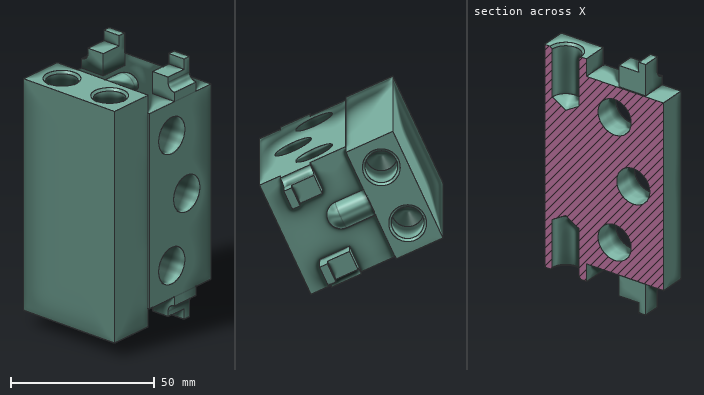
import cadquery as cq
import math

total_height = 100.0

body_width = 43.0
body_depth = 33.0
body_height = 75.0

block_width = 42.0
block_depth = 18.0
block_height = 89.0

cross_hole_diameter = 14.0
outer_hole_offset_z = 25.0
outer_hole_from_back = 21.0
middle_hole_from_back = 13.0

port_diameter = 11.4
port_mouth_diameter = 13.2
port_offset_x = 11.0
port_depth = 20.0
port_tip_angle = 118.0
port_tip_height = port_diameter / 2 / math.tan(math.radians(port_tip_angle / 2))

pin_radius = 5.0
pin_straight_length = body_depth / 2 - pin_radius

lug_inner_x = 11.4
lug_fillet_radius = 3.0
lug_outer_x = body_width / 2 - lug_fillet_radius
lug_foot_height = 3.5
lug_step_drop = 4.0
lug_from_back = 8.0
lug_depth = 11.5
hook_depth = 3.0

back_y = block_depth + body_depth
body_top_z = body_height / 2
lug_top_z = total_height / 2


def make_box(x_range, y_range, z_range):
    """Box spanning the given (low, high) pairs."""
    sizes = [high - low for low, high in (x_range, y_range, z_range)]
    corner = (x_range[0], y_range[0], z_range[0])
    return cq.Workplane("XY").box(*sizes, centered=False).translate(corner)


def make_body():
    """Rear body with three cross holes."""
    body = make_box(
        (-body_width / 2, body_width / 2),
        (block_depth, back_y),
        (-body_top_z, body_top_z),
    )
    outer_y = back_y - outer_hole_from_back
    middle_y = back_y - middle_hole_from_back
    centres = [
        (outer_y, outer_hole_offset_z),
        (middle_y, 0),
        (outer_y, -outer_hole_offset_z),
    ]
    holes = (
        cq.Workplane("YZ")
        .pushPoints(centres)
        .circle(cross_hole_diameter / 2)
        .extrude(body_width / 2, both=True)
    )
    return body.cut(holes)


def make_port():
    """Cutter for one port: chamfered mouth, straight bore and conical tip, opening at Z = 0."""
    mouth_radius = port_mouth_diameter / 2
    bore_radius = port_diameter / 2
    chamfer = mouth_radius - bore_radius
    return (
        cq.Workplane("XZ")
        .moveTo(0, 0)
        .lineTo(mouth_radius, 0)
        .lineTo(bore_radius, -chamfer)
        .lineTo(bore_radius, -port_depth)
        .lineTo(0, -port_depth - port_tip_height)
        .close()
        .revolve(360, (0, 0, 0), (0, 1, 0))
    )


def make_block():
    """Front block with two blind ports in each end face."""
    block = make_box(
        (-block_width / 2, block_width / 2),
        (0, block_depth),
        (-block_height / 2, block_height / 2),
    )
    for x in (-port_offset_x, port_offset_x):
        upper_port = make_port().translate((x, block_depth / 2, block_height / 2))
        block = block.cut(upper_port).cut(upper_port.mirror("XY"))
    return block


def make_pin():
    """Upper pin along Y with a hemispherical rear end, its axis in the top face of the body."""
    end_y = block_depth + pin_straight_length
    return (
        cq.Workplane("XY")
        .moveTo(0, block_depth)
        .lineTo(pin_radius, block_depth)
        .lineTo(pin_radius, end_y)
        .radiusArc((0, end_y + pin_radius), -pin_radius)
        .close()
        .revolve(360, (0, 0, 0), (0, 1, 0))
        .translate((0, 0, body_top_z))
    )


def make_lug():
    """Upper lug on the +X side: foot with a concave fillet, and a hook at the back."""
    lug_back_y = back_y - lug_from_back
    foot_top_z = body_top_z + lug_foot_height
    lug = (
        cq.Workplane("XZ", origin=(0, lug_back_y, 0))
        .moveTo(lug_inner_x, body_top_z)
        .lineTo(body_width / 2, body_top_z)
        .lineTo(body_width / 2, foot_top_z)
        .radiusArc((lug_outer_x, foot_top_z + lug_fillet_radius), lug_fillet_radius)
        .lineTo(lug_outer_x, lug_top_z)
        .lineTo(lug_inner_x, lug_top_z)
        .close()
        .extrude(lug_depth)
    )
    step = make_box(
        (lug_inner_x, body_width / 2),
        (lug_back_y - lug_depth, lug_back_y - hook_depth),
        (lug_top_z - lug_step_drop, lug_top_z),
    )
    return lug.cut(step)


upper_lug = make_lug()
upper_lugs = upper_lug.union(upper_lug.mirror("YZ"))
upper_fittings = upper_lugs.union(make_pin())
lower_fittings = upper_fittings.mirror("XY")

result = make_body().union(make_block()).union(upper_fittings).union(lower_fittings)